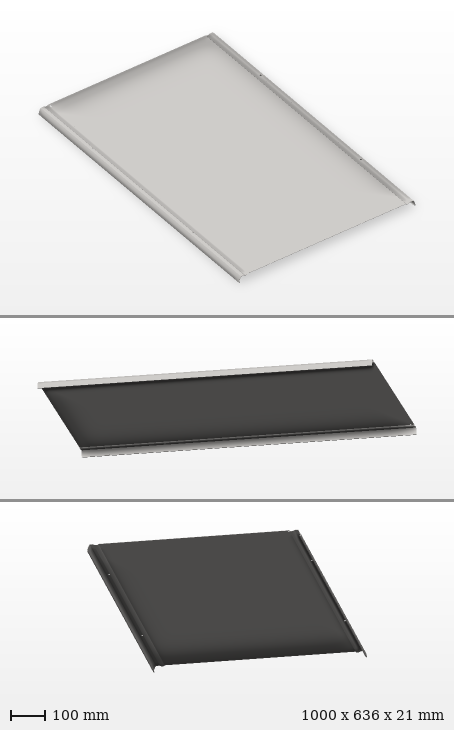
import cadquery as cq

length = 1000.0
width = 636.0
height = 21.0
sheet = 1.0

leg_top_inset = 7.0
leg_middle_inset = 2.0
leg_middle_height = 12.0
lip_width = 3.0
lip_height = 3.0
groove_outer = 18.0
groove_lowest = 26.0
groove_arc_end = 32.0
groove_inner = 34.0
groove_depth = 3.0
groove_step = 2.0

hole_diameter = 6.0
edge_hole_inset = 16.0
edge_hole_spacing = length / 2
corner_hole_end_inset = 10.0
corner_hole_edge_inset = 37.0

half_width = width / 2


def half_panel(side):
    """Half of the formed sheet, ending in groove, leg and lip; side is +1 or -1 in Y."""

    def at(inset, z):
        return (side * (half_width - inset), z)

    underside = height - sheet
    profile = (
        cq.Workplane("YZ")
        .moveTo(*at(half_width, height))
        .lineTo(*at(groove_inner, height))
        .lineTo(*at(groove_arc_end, height - groove_step))
        .threePointArc(at(groove_lowest, height - groove_depth), at(groove_outer, height))
        .lineTo(*at(leg_top_inset, height))
        .threePointArc(at(leg_middle_inset, leg_middle_height), at(0, lip_height))
        .lineTo(*at(0, 0))
        .lineTo(*at(lip_width, 0))
        .lineTo(*at(lip_width, lip_height - sheet))
        .lineTo(*at(sheet, lip_height - sheet))
        .threePointArc(
            at(leg_middle_inset + sheet, leg_middle_height - sheet),
            at(leg_top_inset + sheet / 2, underside),
        )
        .lineTo(*at(groove_outer, underside))
        .threePointArc(
            at(groove_lowest, underside - groove_depth),
            at(groove_arc_end, underside - groove_step),
        )
        .lineTo(*at(groove_inner, underside))
        .lineTo(*at(half_width, underside))
        .close()
    )
    return profile.extrude(length / 2, both=True)


def hole_cutters(centers):
    """Vertical cylinders through the full height at the given XY centers."""
    return cq.Workplane("XY").pushPoints(centers).circle(hole_diameter / 2).extrude(height)


panel = half_panel(1).union(half_panel(-1))

edge_holes = [
    (x_side * edge_hole_spacing / 2, y_side * (half_width - edge_hole_inset))
    for x_side in (-1, 1)
    for y_side in (-1, 1)
]

corner_hole = (corner_hole_end_inset - length / 2, corner_hole_edge_inset - half_width)

result = panel.cut(hole_cutters(edge_holes + [corner_hole])).clean()